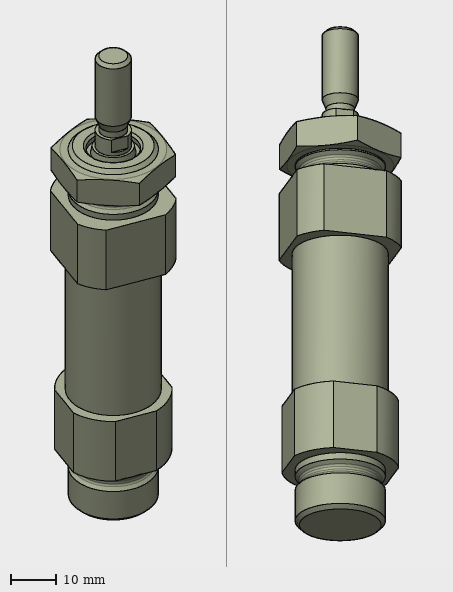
import cadquery as cq
import math

total_height = 118.1
cap_length = 16.0
rear_cap_bottom = 13.1
front_cap_bottom = 65.0
housing_top = 94.0

thread_dia = 20.0
groove_dia = 18.0
groove_cone_dia = 18.4
collar_length = 1.5
groove_width = 3.3
end_chamfer = 1.0

tube_dia = 21.3
square_width = 24.0
front_corner_dia = 28.0
rear_corner_dia = 26.0

mouth_dia = 12.0
mouth_chamfer = 0.6
mouth_depth = 1.8
lip_dia = 9.3
lip_base_dia = 10.0
bore_bottom = front_cap_bottom

rod_dia = 8.0
rod_neck_dia = 6.4
rod_tip_chamfer = (rod_dia - rod_neck_dia) / 2
rod_thread_bottom = 101.9
rod_neck_top = 99.8
rod_neck_bottom = 98.3
flats_bottom = 95.0
flats_width = 7.0

nut_width = square_width
nut_height = 7.0
nut_top = housing_top - end_chamfer
nut_chamfer_dia = 23.6
nut_chamfer_angle = 15.0


def cylinder(diameter, bottom, top):
    return cq.Workplane("XY").workplane(offset=bottom).circle(diameter / 2).extrude(top - bottom)


def rounded_square(corner_dia, bottom):
    """Square cap whose corners are cut to a circle."""
    top = bottom + cap_length
    square = cq.Workplane("XY").workplane(offset=bottom).rect(square_width, square_width).extrude(cap_length)
    return square.intersect(cylinder(corner_dia, bottom, top))


def groove_cutter(bottom):
    """Ring for a thread undercut: 45 degree flanks running tangentially into a cylindrical root."""
    outer, inner = thread_dia / 2, groove_dia / 2
    flank_end = groove_cone_dia / 2
    flank = outer - flank_end
    root_radius = (flank_end - inner) / (1 - math.cos(math.pi / 4))
    arc_height = root_radius * math.sin(math.pi / 4)
    arc_mid_x = inner + root_radius * (1 - math.cos(math.pi / 8))
    arc_mid_drop = root_radius * math.sin(math.pi / 8)
    top = bottom + groove_width
    root_bottom = bottom + flank + arc_height
    root_top = top - flank - arc_height
    profile = (
        cq.Workplane("XZ")
        .moveTo(outer, bottom)
        .lineTo(flank_end, bottom + flank)
        .threePointArc((arc_mid_x, root_bottom - arc_mid_drop), (inner, root_bottom))
        .lineTo(inner, root_top)
        .threePointArc((arc_mid_x, root_top + arc_mid_drop), (flank_end, top - flank))
        .lineTo(outer, top)
        .close()
    )
    return profile.revolve(360, (0, 0, 0), (0, 1, 0))


def mouth_cutter():
    """Countersunk recess in the front face, leaving a tapered seal lip around the rod bore."""
    floor = housing_top - mouth_depth
    mouth_radius, rod_radius = mouth_dia / 2, rod_dia / 2
    profile = cq.Workplane("XZ").polyline([
        (0, bore_bottom),
        (rod_radius, bore_bottom),
        (rod_radius, housing_top),
        (lip_dia / 2, housing_top),
        (lip_base_dia / 2, floor),
        (mouth_radius, floor),
        (mouth_radius, housing_top - mouth_chamfer),
        (mouth_radius + mouth_chamfer, housing_top),
        (0, housing_top),
    ]).close()
    return profile.revolve(360, (0, 0, 0), (0, 1, 0))


def make_housing():
    front_cap_top = front_cap_bottom + cap_length
    stem = cylinder(thread_dia, 0, housing_top).faces("<Z or >Z").chamfer(end_chamfer)
    tube = cylinder(tube_dia, rear_cap_bottom, front_cap_top)
    body = stem.union(tube)
    body = body.union(rounded_square(rear_corner_dia, rear_cap_bottom))
    body = body.union(rounded_square(front_corner_dia, front_cap_bottom))
    body = body.cut(groove_cutter(rear_cap_bottom - collar_length - groove_width))
    body = body.cut(groove_cutter(front_cap_top + collar_length))
    return body.cut(mouth_cutter())


def make_rod():
    radius, neck_radius = rod_dia / 2, rod_neck_dia / 2
    profile = cq.Workplane("XZ").polyline([
        (0, bore_bottom),
        (radius, bore_bottom),
        (radius, rod_neck_bottom),
        (neck_radius, rod_neck_bottom),
        (neck_radius, rod_neck_top),
        (radius, rod_thread_bottom),
        (radius, total_height - rod_tip_chamfer),
        (radius - rod_tip_chamfer, total_height),
        (0, total_height),
    ]).close()
    rod = profile.revolve(360, (0, 0, 0), (0, 1, 0))
    flats_length = rod_neck_bottom - flats_bottom
    for side in (-1, 1):
        cutter = (
            cq.Workplane("XY")
            .workplane(offset=flats_bottom)
            .center(side * (flats_width + rod_dia) / 2, 0)
            .rect(rod_dia, rod_dia)
            .extrude(flats_length)
        )
        rod = rod.cut(cutter)
    return rod


def make_nut():
    bottom = nut_top - nut_height
    corner_radius = nut_width / math.sqrt(3)
    chamfer_radius = nut_chamfer_dia / 2
    drop = (corner_radius - chamfer_radius) * math.tan(math.radians(nut_chamfer_angle))
    hexagon = cq.Workplane("XY").workplane(offset=bottom).polygon(6, 2 * corner_radius).extrude(nut_height)
    envelope = cq.Workplane("XZ").polyline([
        (0, bottom),
        (chamfer_radius, bottom),
        (corner_radius, bottom + drop),
        (corner_radius, nut_top - drop),
        (chamfer_radius, nut_top),
        (0, nut_top),
    ]).close().revolve(360, (0, 0, 0), (0, 1, 0))
    return hexagon.intersect(envelope).cut(cylinder(thread_dia, bottom, nut_top))


housing = make_housing()
rod = make_rod()
nut = make_nut()

result = cq.Compound.makeCompound([housing.val(), rod.val(), nut.val()])